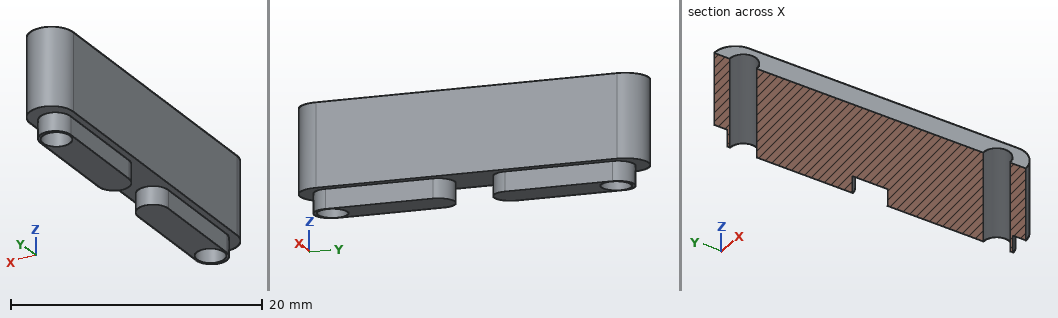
import cadquery as cq

body_length = 29.4
body_width = 4.0
total_height = 8.73
foot_height = 1.65
body_height = total_height - foot_height

foot_length = 11.85
foot_width = 2.8
foot_gap = 3.3
foot_center_y = (foot_gap + foot_length) / 2

hole_diameter = 2.53
hole_spacing = 23.9


def rounded_bar(length, width, height, center_y, bottom_z):
    """Upright bar along Y with semicircular ends."""
    return (
        cq.Workplane("XY", origin=(0, center_y, bottom_z))
        .slot2D(length, width, 90)
        .extrude(height)
    )


result = rounded_bar(body_length, body_width, body_height, 0, foot_height)

for side in (-1, 1):
    foot = rounded_bar(foot_length, foot_width, foot_height, side * foot_center_y, 0)
    result = result.union(foot)

holes = (
    cq.Workplane("XY")
    .pushPoints([(0, -hole_spacing / 2), (0, hole_spacing / 2)])
    .circle(hole_diameter / 2)
    .extrude(total_height)
)
result = result.cut(holes)